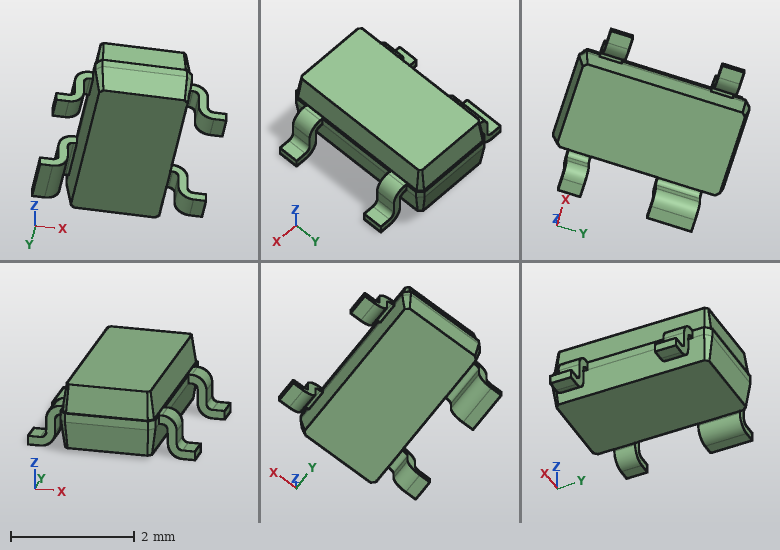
import cadquery as cq


span_x = 2.8
body_length = 2.9
body_width = 1.592
body_corner = 0.1

standoff = 0.1
lower_height = 0.475
upper_height = 0.475
draft_angle = 8.0
upper_step = 0.025

lead_thickness = 0.15
inner_bend = 0.1
foot_flat = 0.205
narrow_lead = 0.377
wide_lead = 2 * narrow_lead
lead_edge_y = 1.137
lead_overlap = 0.058

band_bottom = standoff + lower_height
band_top = band_bottom + lead_thickness
outer_bend = inner_bend + lead_thickness
tip_x = -span_x / 2
bend_start_x = tip_x + foot_flat
riser_outer_x = bend_start_x + inner_bend
riser_inner_x = riser_outer_x + lead_thickness
shoulder_x = riser_outer_x + outer_bend
lead_end_x = -body_width / 2 + lead_overlap


def body_outline(level):
    """Widest body outline, a rectangle with chamfered corners, at the given height."""
    sketch = cq.Sketch().rect(body_width, body_length).vertices().chamfer(body_corner)
    return cq.Workplane("XY", origin=(0, 0, level)).placeSketch(sketch)


def make_body():
    """Straight parting band with a drafted half below and a stepped, drafted half above."""
    band = body_outline(band_bottom).extrude(lead_thickness)
    lower = band.faces("<Z").wires().toPending().extrude(-lower_height, taper=draft_angle)
    upper_outline = band.faces(">Z").wires().toPending().workplane().offset2D(-upper_step)
    upper = upper_outline.extrude(upper_height, taper=draft_angle, combine=False)
    return band.union(lower).union(upper)


def make_left_lead(y_low, width):
    """Gull-wing lead on the -X side, from y_low to y_low + width."""
    profile = (
        cq.Workplane("XZ", origin=(0, y_low, 0))
        .moveTo(tip_x, 0)
        .lineTo(bend_start_x, 0)
        .radiusArc((riser_inner_x, outer_bend), -outer_bend)
        .lineTo(riser_inner_x, band_bottom - inner_bend)
        .radiusArc((shoulder_x, band_bottom), inner_bend)
        .lineTo(lead_end_x, band_bottom)
        .lineTo(lead_end_x, band_top)
        .lineTo(shoulder_x, band_top)
        .radiusArc((riser_outer_x, band_top - outer_bend), -outer_bend)
        .lineTo(riser_outer_x, outer_bend)
        .radiusArc((bend_start_x, lead_thickness), inner_bend)
        .lineTo(tip_x, lead_thickness)
        .close()
    )
    return profile.extrude(-width)


wide_left = make_left_lead(lead_edge_y - wide_lead, wide_lead)
front_left = make_left_lead(-lead_edge_y, narrow_lead)
back_left = make_left_lead(lead_edge_y - narrow_lead, narrow_lead)

result = make_body()
for lead in (wide_left, front_left, front_left.mirror("YZ"), back_left.mirror("YZ")):
    result = result.union(lead)